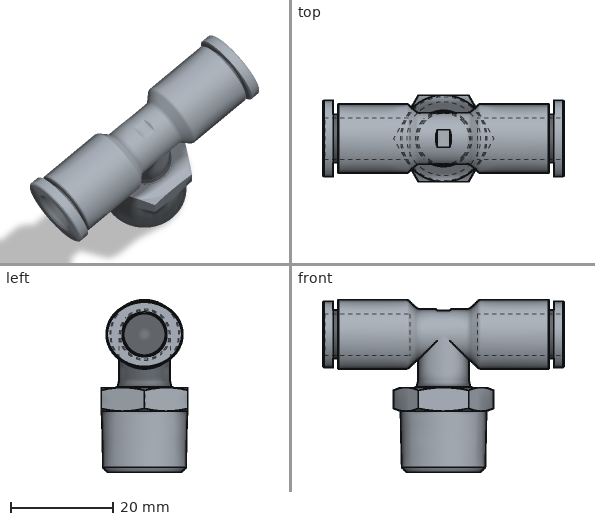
import cadquery as cq
import math

overall_length = 47.2
half_length = overall_length / 2
overall_height = 33.8
body_radius = 6.8
run_height = overall_height - body_radius

neck_radius = 5.0
groove_radius = 4.75
collar_thickness = 2.05
groove_width = 0.85
body_end = half_length - collar_thickness - groove_width
body_end_chamfer = 0.2
cone_angle = math.radians(43)
cone_start = 5.1
cone_end = cone_start + (body_radius - neck_radius) / math.tan(cone_angle)
neck_blend_radius = 1.1
shoulder_blend_radius = 0.85
neck_tangent = neck_blend_radius * math.tan(cone_angle / 2)
shoulder_tangent = shoulder_blend_radius * math.tan(cone_angle / 2)
neck_half_length = cone_start - neck_tangent

collar_half_width = 7.5
collar_half_height = 6.5
collar_chamfer = 0.25
bore_radius = 4.05
bore_chamfer = 0.35
bore_depth = 17.0

flat_width = 3.45
flat_length = 2.35
flat_end_slope = 0.4
flat_height = math.sqrt(neck_radius**2 - (flat_width / 2) ** 2)

across_flats = 17.0
hex_bottom = 12.0
hex_height = 4.6
hex_top = hex_bottom + hex_height
hex_corner_radius = across_flats / 2 / math.cos(math.radians(30))
hex_corner_drop = 0.5

flare_height = 1.4
flare_radius = 5.3
seat_radius = 5.5
seat_height = 0.15

thread_top_radius = 8.45
thread_end_radius = 8.2
thread_chamfer = 1.0


def make_socket():
    """Blended cone, socket body and grooved end on the +X side of the neck."""
    along = math.cos(cone_angle)
    outward = math.sin(cone_angle)
    profile = (
        cq.Workplane("XZ")
        .moveTo(neck_half_length, 0)
        .lineTo(neck_half_length, neck_radius)
        .threePointArc(
            (
                neck_half_length + neck_blend_radius * math.sin(cone_angle / 2),
                neck_radius + neck_blend_radius * (1 - math.cos(cone_angle / 2)),
            ),
            (cone_start + neck_tangent * along, neck_radius + neck_tangent * outward),
        )
        .lineTo(cone_end - shoulder_tangent * along, body_radius - shoulder_tangent * outward)
        .tangentArcPoint((cone_end + shoulder_tangent, body_radius), relative=False)
        .lineTo(body_end - body_end_chamfer, body_radius)
        .lineTo(body_end, body_radius - body_end_chamfer)
        .lineTo(body_end, groove_radius)
        .lineTo(half_length - collar_thickness, groove_radius)
        .lineTo(half_length - collar_thickness, 0)
        .close()
    )
    return profile.revolve(360, (0, 0, 0), (1, 0, 0))


def make_collar():
    """Oval collar at the +X end, chamfered on its outer face."""
    return (
        cq.Workplane("YZ", origin=(half_length - collar_thickness, 0, 0))
        .ellipse(collar_half_width, collar_half_height)
        .extrude(collar_thickness)
        .faces(">X")
        .chamfer(collar_chamfer)
    )


def make_bore():
    """Blind tube bore with a chamfered mouth at the +X end."""
    floor = half_length - bore_depth
    return (
        cq.Workplane("XZ", origin=(floor, 0, 0))
        .lineTo(0, bore_radius)
        .lineTo(bore_depth - bore_chamfer, bore_radius)
        .lineTo(bore_depth, bore_radius + bore_chamfer)
        .lineTo(bore_depth, 0)
        .close()
        .revolve(360, (0, 0, 0), (1, 0, 0))
    )


def make_flat_cutter():
    """Prism whose sloped ends widen from the flat up to the neck's crown and beyond."""
    flat_depth = neck_radius - flat_height
    prism_top = neck_radius + flat_depth
    bottom_half = flat_length / 2
    top_half = bottom_half + 2 * flat_end_slope
    return (
        cq.Workplane("XZ")
        .polyline(
            [
                (-bottom_half, flat_height),
                (bottom_half, flat_height),
                (top_half, prism_top),
                (-top_half, prism_top),
            ]
        )
        .close()
        .extrude(flat_width / 2, both=True)
    )


def make_run():
    """Neck with its flat, and a socket with collar and bore at both ends."""
    neck = (
        cq.Workplane("XZ", origin=(-neck_half_length, 0, 0))
        .rect(2 * neck_half_length, neck_radius, centered=False)
        .revolve(360, (0, 0, 0), (1, 0, 0))
        .cut(make_flat_cutter())
    )
    end = make_socket().union(make_collar())
    bore = make_bore()
    run = neck.union(end).union(end.mirror("YZ"))
    run = run.cut(bore).cut(bore.mirror("YZ"))
    return run.translate((0, 0, run_height))


def make_hex():
    """Hexagon with corners on X, its corners bevelled at the top and bottom."""
    prism = (
        cq.Workplane("XY", origin=(0, 0, hex_bottom))
        .polygon(6, 2 * hex_corner_radius)
        .extrude(hex_height)
    )
    bevel = (
        cq.Workplane("XZ")
        .polyline(
            [
                (0, hex_bottom),
                (across_flats / 2, hex_bottom),
                (hex_corner_radius, hex_bottom + hex_corner_drop),
                (hex_corner_radius, hex_top - hex_corner_drop),
                (across_flats / 2, hex_top),
                (0, hex_top),
            ]
        )
        .close()
        .revolve(360, (0, 0, 0), (0, 1, 0))
    )
    return prism.intersect(bevel)


def make_thread():
    """Solid taper below the nut, chamfered at its free end."""
    return (
        cq.Workplane("XZ")
        .polyline(
            [
                (0, 0),
                (thread_end_radius - thread_chamfer, 0),
                (thread_end_radius, thread_chamfer),
                (thread_top_radius, hex_bottom),
                (0, hex_bottom),
            ]
        )
        .close()
        .revolve(360, (0, 0, 0), (0, 1, 0))
    )


def make_stem():
    """Round stem rising to the run axis, flared down to a thin seat on the nut."""
    return (
        cq.Workplane("XZ")
        .polyline(
            [
                (0, hex_top),
                (seat_radius, hex_top),
                (seat_radius, hex_top + seat_height),
                (flare_radius, hex_top + seat_height),
                (neck_radius, hex_top + flare_height),
                (neck_radius, run_height),
                (0, run_height),
            ]
        )
        .close()
        .revolve(360, (0, 0, 0), (0, 1, 0))
    )


result = make_run().union(make_stem()).union(make_hex()).union(make_thread())